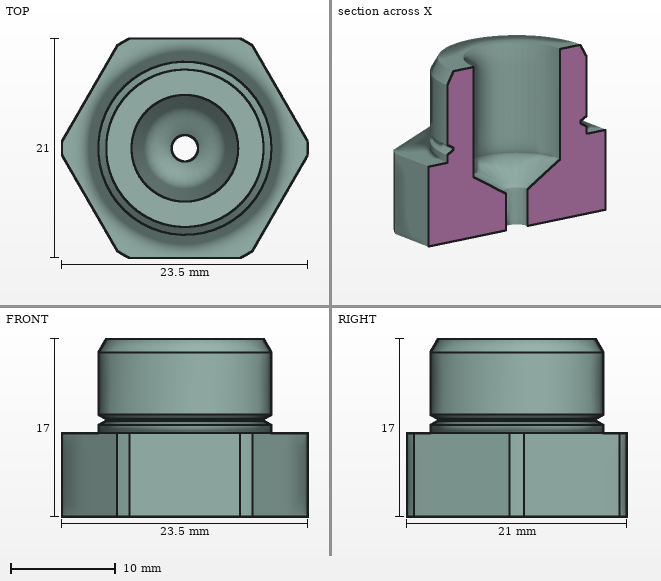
import cadquery as cq
import math

hex_sides = 6
hex_across_flats = 21.0
hex_corner_diameter = 23.5
hex_height = 8.0

total_height = 17.0
spigot_radius = 16.54 / 2
lead_in_width = 0.75
lead_in_angle = 30.0
lead_in_height = lead_in_width / math.tan(math.radians(lead_in_angle))

collar_height = 0.75
groove_depth = 0.72
groove_width = 1.0
groove_floor_width = 0.2
groove_flank_height = (groove_width - groove_floor_width) / 2

bore_diameter = 10.2
through_diameter = 2.5
bore_depth = 11.0
drill_point_angle = 118.0


def revolve_about_z(outline):
    """Full revolution about Z of an outline given as (radius, height) points."""
    return cq.Workplane("XZ").polyline(outline).close().revolve(360, (0, 0, 0), (0, 1, 0))


def make_hex_head():
    """Hexagonal prism with corners on the X axis, trimmed by a coaxial cylinder."""
    corner_to_corner = hex_across_flats / math.cos(math.pi / hex_sides)
    prism = cq.Workplane("XY").polygon(hex_sides, corner_to_corner).extrude(hex_height)
    trim = cq.Workplane("XY").circle(hex_corner_diameter / 2).extrude(hex_height)
    return prism.intersect(trim)


def make_spigot():
    """Revolved spigot with a collar, a relief groove and a top lead-in chamfer."""
    collar_top = hex_height + collar_height
    floor_bottom = collar_top + groove_flank_height
    floor_top = floor_bottom + groove_floor_width
    groove_top = collar_top + groove_width
    groove_radius = spigot_radius - groove_depth
    outline = [
        (0, 0),
        (groove_radius, 0),
        (groove_radius, hex_height),
        (spigot_radius, hex_height),
        (spigot_radius, collar_top),
        (groove_radius, floor_bottom),
        (groove_radius, floor_top),
        (spigot_radius, groove_top),
        (spigot_radius, total_height - lead_in_height),
        (spigot_radius - lead_in_width, total_height),
        (0, total_height),
    ]
    return revolve_about_z(outline)


def make_bore():
    """Blind bore with a drill-point bottom that leads into a small through hole."""
    bore_radius = bore_diameter / 2
    through_radius = through_diameter / 2
    half_point_angle = math.radians(drill_point_angle / 2)
    cone_height = (bore_radius - through_radius) / math.tan(half_point_angle)
    bore_bottom = total_height - bore_depth
    outline = [
        (0, 0),
        (through_radius, 0),
        (through_radius, bore_bottom - cone_height),
        (bore_radius, bore_bottom),
        (bore_radius, total_height),
        (0, total_height),
    ]
    return revolve_about_z(outline)


result = make_hex_head().union(make_spigot()).cut(make_bore())